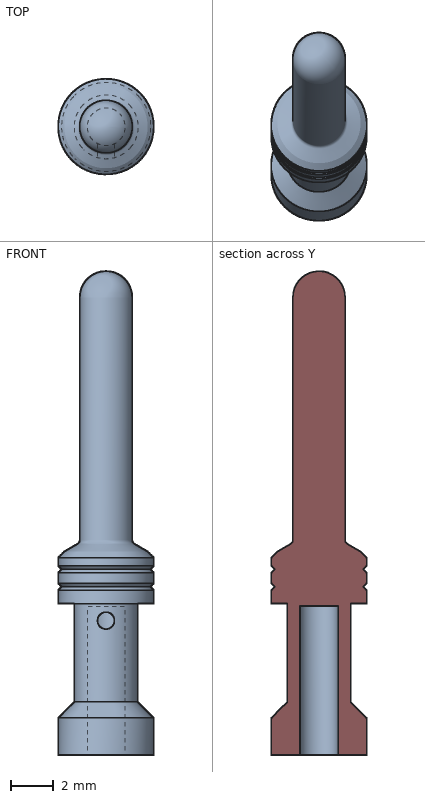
import cadquery as cq
import math

TOTAL_HEIGHT = 22.7
FLANGE_RADIUS = 4.5 / 2
STEM_RADIUS = 3.0 / 2
PIN_RADIUS = 2.47 / 2

FLANGE_HEIGHT = 1.75
FLANGE_TAPER = FLANGE_RADIUS - STEM_RADIUS

COLLAR_BOTTOM = 7.1
COLLAR_TOP = 9.26
COLLAR_CHAMFER = 0.3
SHOULDER_SLOPE = 30.0
SHOULDER_FILLET = 0.2

GROOVE_DEPTH = 0.15
GROOVE_HEIGHTS = (7.9, 8.72)

BORE_RADIUS = 1.77 / 2
BORE_DEPTH = 7.0
INSPECTION_RADIUS = 0.8 / 2
INSPECTION_HEIGHT = 6.3


def turned_body():
    """Revolve the half outline of the pin, without grooves, about Z."""
    slope = math.radians(SHOULDER_SLOPE)
    shoulder_radius = FLANGE_RADIUS - COLLAR_CHAMFER
    shoulder_bottom = COLLAR_TOP + COLLAR_CHAMFER

    corner_z = shoulder_bottom + (shoulder_radius - PIN_RADIUS) * math.tan(slope)

    turn = math.pi / 2 - slope
    setback = SHOULDER_FILLET * math.tan(turn / 2)
    blend_start = (PIN_RADIUS + setback * math.cos(slope), corner_z - setback * math.sin(slope))
    blend_end = (PIN_RADIUS, corner_z + setback)
    blend_middle = (
        PIN_RADIUS + SHOULDER_FILLET * (1 - math.cos(turn / 2)),
        blend_end[1] - SHOULDER_FILLET * math.sin(turn / 2),
    )

    dome_base = TOTAL_HEIGHT - PIN_RADIUS
    dome_middle = (
        PIN_RADIUS * math.cos(math.pi / 4),
        dome_base + PIN_RADIUS * math.sin(math.pi / 4),
    )

    return (
        cq.Workplane("XZ")
        .moveTo(0, 0)
        .lineTo(FLANGE_RADIUS, 0)
        .lineTo(FLANGE_RADIUS, FLANGE_HEIGHT)
        .lineTo(STEM_RADIUS, FLANGE_HEIGHT + FLANGE_TAPER)
        .lineTo(STEM_RADIUS, COLLAR_BOTTOM)
        .lineTo(FLANGE_RADIUS, COLLAR_BOTTOM)
        .lineTo(FLANGE_RADIUS, COLLAR_TOP)
        .lineTo(shoulder_radius, shoulder_bottom)
        .lineTo(*blend_start)
        .threePointArc(blend_middle, blend_end)
        .lineTo(PIN_RADIUS, dome_base)
        .threePointArc(dome_middle, (0, TOTAL_HEIGHT))
        .close()
        .revolve(360, (0, 0, 0), (0, 1, 0))
    )


def groove_ring(height):
    """V-section ring to cut from the collar, centred at the given height."""
    return (
        cq.Workplane("XZ")
        .moveTo(FLANGE_RADIUS - GROOVE_DEPTH, height)
        .lineTo(FLANGE_RADIUS, height - GROOVE_DEPTH)
        .lineTo(FLANGE_RADIUS, height + GROOVE_DEPTH)
        .close()
        .revolve(360, (0, 0, 0), (0, 1, 0))
    )


def crimp_bore():
    """Blind bore rising from the bottom face."""
    return cq.Workplane("XY").circle(BORE_RADIUS).extrude(BORE_DEPTH)


def inspection_hole():
    """Radial hole from the axis out through the -Y wall of the neck."""
    return (
        cq.Workplane("XZ")
        .center(0, INSPECTION_HEIGHT)
        .circle(INSPECTION_RADIUS)
        .extrude(FLANGE_RADIUS)
    )


result = turned_body()
for groove_height in GROOVE_HEIGHTS:
    result = result.cut(groove_ring(groove_height))
result = result.cut(crimp_bore())
result = result.cut(inspection_hole())